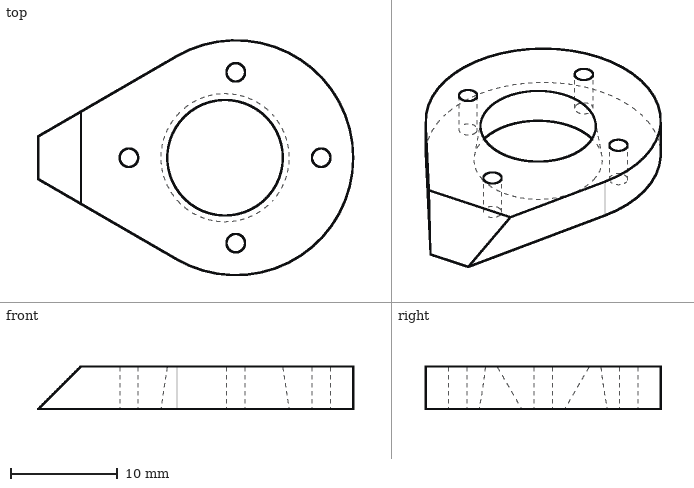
import cadquery as cq
import math

length = 29.5
thickness = 4.0
disc_radius = 11.0
tip_half_width = 2.0
bore_top_diameter = 10.8
bore_bottom_diameter = 12.0
bore_x = -1.0
screw_diameter = 1.7
screw_offset = 8.0
front_screw_x = -10.0

tip_x = disc_radius - length


def tangent_point():
    """Point where the straight side from the upper tip corner meets the disc tangentially."""
    corner_distance = math.hypot(tip_x, tip_half_width)
    corner_angle = math.atan2(tip_half_width, tip_x)
    angle = corner_angle - math.acos(disc_radius / corner_distance)
    return disc_radius * math.cos(angle), disc_radius * math.sin(angle)


def teardrop_plate():
    """Disc joined by two tangent sides to a narrow flat tip."""
    tangent_x, tangent_y = tangent_point()
    return (
        cq.Workplane("XY")
        .moveTo(tip_x, -tip_half_width)
        .lineTo(tangent_x, -tangent_y)
        .threePointArc((disc_radius, 0), (tangent_x, tangent_y))
        .lineTo(tip_x, tip_half_width)
        .close()
        .extrude(thickness)
    )


def tip_bevel():
    """Wedge that slopes the tip at 45 degrees over the full thickness."""
    return (
        cq.Workplane("XZ")
        .moveTo(tip_x, 0)
        .lineTo(tip_x + thickness, thickness)
        .lineTo(tip_x, thickness)
        .close()
        .extrude(disc_radius, both=True)
    )


def tapered_bore():
    """Cone spanning the plate thickness, wider at the bottom."""
    return (
        cq.Workplane("XY")
        .center(bore_x, 0)
        .circle(bore_bottom_diameter / 2)
        .workplane(offset=thickness)
        .circle(bore_top_diameter / 2)
        .loft(ruled=True)
    )


def screw_holes():
    """Four cylinders spanning the plate thickness."""
    centres = [
        (screw_offset, 0),
        (0, screw_offset),
        (0, -screw_offset),
        (front_screw_x, 0),
    ]
    return cq.Workplane("XY").pushPoints(centres).circle(screw_diameter / 2).extrude(thickness)


result = teardrop_plate().cut(tip_bevel()).cut(tapered_bore()).cut(screw_holes())